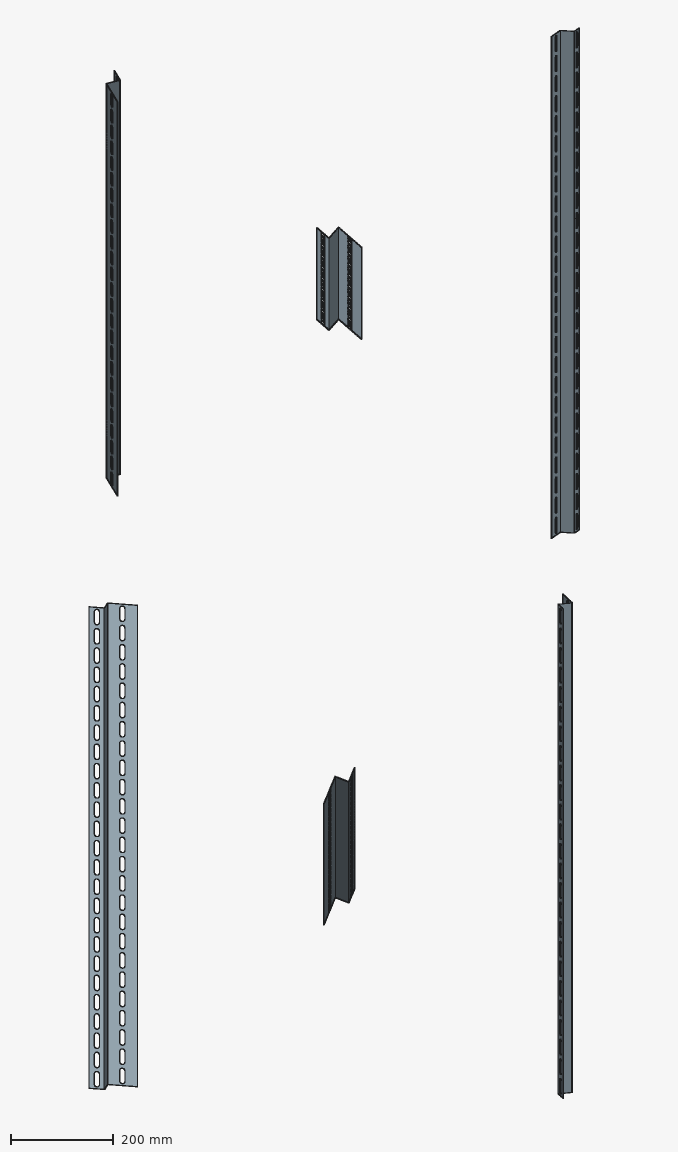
import cadquery as cq

length = 1000.0
width = 91.0
depth = 30.0

sheet = 1.5
rear_flange = 32.0

left = -width / 2
right = width / 2
front = -depth / 2
back = depth / 2
web_right = left + rear_flange
web_left = web_right - sheet

slot_count = 25
slot_pitch = length / slot_count
slot_length = 32.0
slot_width = 10.0
rear_slot_inset = 16.0
front_slot_inset = 30.0
slot_row_x = [left + rear_slot_inset, web_left + front_slot_inset]


def make_profile():
    """Z section: rear flange to the left, front flange to the right."""
    outline = [
        (left, back),
        (web_right, back),
        (web_right, front + sheet),
        (right, front + sheet),
        (right, front),
        (web_left, front),
        (web_left, back - sheet),
        (left, back - sheet),
    ]
    bar = cq.Workplane("XY").polyline(outline).close().extrude(length)
    return bar.translate((0, 0, -length / 2))


def make_slots():
    """Two rows of upright round-ended slots, cut through the full depth."""
    upright = 90
    first_z = -length / 2 + slot_pitch / 2
    centres = [
        (x, first_z + i * slot_pitch)
        for x in slot_row_x
        for i in range(slot_count)
    ]
    return (
        cq.Workplane("XZ")
        .pushPoints(centres)
        .slot2D(slot_length, slot_width, upright)
        .extrude(depth, both=True)
    )


result = make_profile().cut(make_slots())